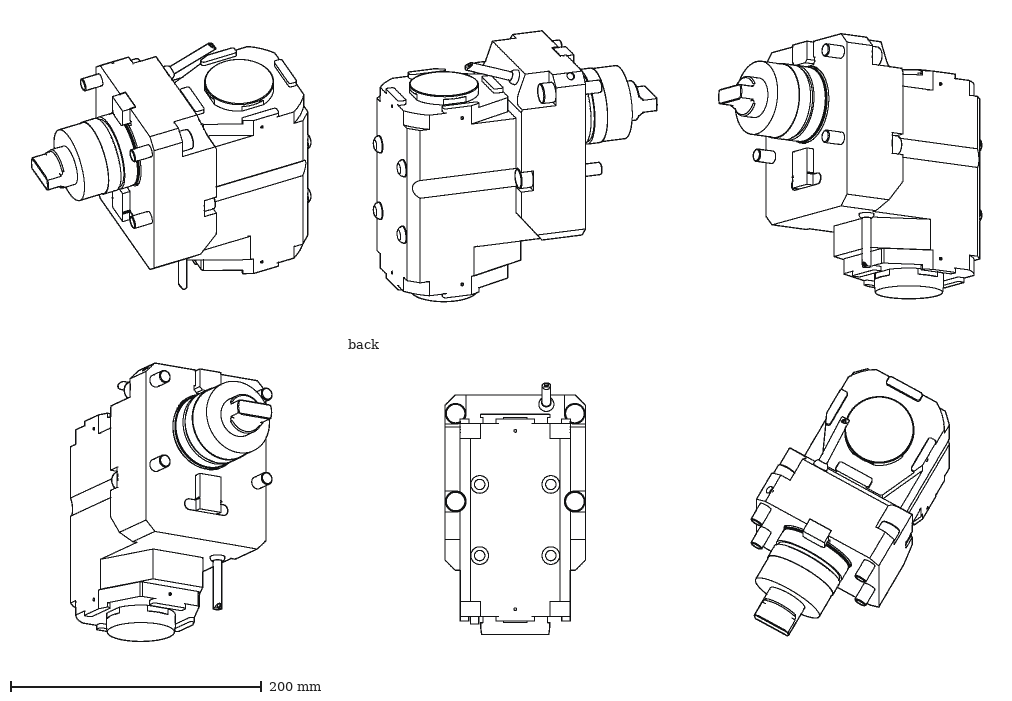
import cadquery as cq
import math


flange_width = 112.0
flange_top = 50.0
flange_bottom = -90.0
flange_thickness = 25.0
corner_chamfer = 8.3
bracket_back = 54.5
bracket_top_depth = 45.0
rear_slope_angle = 20
bottom_bevel_run = 20.5
bottom_bevel_rise = 24.5

bolt_x = 47.5
bolt_z = 35.0
bolt_diameter = 10.0
bolt_reach = 15.5
bolt_tip_chamfer = 0.7
bolt_head_diameter = 16.0
bolt_head_height = 10.0
head_clearance_diameter = 16.7
lower_seat_y = 44.2

key_half_width = 9.8
key_protrusion = 6.5
key_depth = 5.0
upper_key_top = 49.3
upper_key_bottom = 32.1
upper_key_chamfer = 2.5
upper_pocket_margin = 1.3
upper_pocket_top = 37.0
lower_key_top = -37.5
lower_key_bottom = -67.0
inlay_length = 40.2
inlay_height = 9.0
inlay_thickness = 0.5
key_web = 1.1

coolant_hole_diameter = 6.0
coolant_hole_depth = 2.2
coolant_hole_tilt = 30
coolant_hole_x = -50.0
coolant_hole_y = 10.5

spindle_steps = [
    (1.0, 59.5),
    (1.8, 59.0),
    (2.7, 59.5),
    (13.8, 60.0),
    (17.2, 56.2),
    (27.9, 60.0),
    (48.9, 59.0),
]
bore_diameter = 61.8
bore_gap_depth = 2.2
shaft_diameter = 32.0
shaft_end = 61.0
shaft_chamfer = 1.1
tang_end = 75.0
tang_thickness = 12.0
tang_chamfer = 0.7
tang_root = 2.0
tang_overlap = 2.2
tang_flat_half = 12.3
tang_edge_drop = 1.1

head_half = 44.0
head_y = 100.0
housing_top = 15.2
housing_bottom = -114.7
housing_mid_z = (housing_top + housing_bottom) / 2
housing_chamfer = 8.3
wedge_front = 43.0
bevel_angle = 66
wedge_bevel_start = 90.0

cover_thickness = 12.0
cover_radius = 52.0
cover_front = 54.9
cover_bevel_start = 92.4
pad_length = 30.5
pad_width = 7.0
front_pad_width = 8.0
pad_height = 3.5
pad_fillet = 2.0
pin_hole_diameter = 2.1
pin_hole_depth = 1.1

nose_diameter = 55.0
nose_end_diameter = 53.5
nose_flat_height = 4.7
nose_flat_distance = 25.9
upper_nose_height = 7.5
lower_nose_height = 14.3
lower_nose_straight = 4.0
nose_chamfer = 0.7
nose_end_height = 1.5
lower_nose_rim_diameter = 54.2

screw_x = 28.3
screw_diameter = 14.0
screw_top_diameter = 8.3
screw_height = 4.2
screw_rim = 0.7
screw_bulge = 0.33

cable_diameter = 7.0
cable_boss_diameter = 12.0
cable_boss_top_diameter = 7.8
cable_boss_sink = 2.2
cable_boss_bulge = 0.5
cable_tip_hole_diameter = 3.1
cable_tip_hole_depth = 1.3
cable_cut_length = 3.5
upper_cable_x = -24.8
upper_cable_z = 42.5
upper_cable_length = 44.0
upper_cable_cut = 4.7
upper_boss_height = 5.0
lower_cable_x = 32.3
lower_cable_y = 35.7
lower_cable_length = 42.8
lower_cable_cut = 2.2
lower_boss_height = 3.3

cut_margin = 2.2

flange_half = flange_width / 2
back_y = head_y + head_half
slope_tan = math.tan(math.radians(rear_slope_angle))
bevel_tan = math.tan(math.radians(bevel_angle))


def block(x0, x1, y0, y1, z0, z1):
    """Box between two opposite corners."""
    return cq.Workplane("XY").box(x1 - x0, y1 - y0, z1 - z0, centered=False).translate((x0, y0, z0))


def rod(x, z, y0, y1, diameter):
    """Cylinder parallel to Y between y0 and y1."""
    return cq.Workplane("XZ", origin=(x, y0, z)).circle(diameter / 2).extrude(y0 - y1)


def make_flange():
    """Flange plate, with chamfered corners, and the coolant hole."""
    plate = block(-flange_half, flange_half, 0, flange_thickness, flange_bottom, flange_top)
    plate = plate.edges("|Y").chamfer(corner_chamfer)
    mouth_z = flange_top - corner_chamfer + flange_half + coolant_hole_x
    mouth = cq.Vector(coolant_hole_x, coolant_hole_y, mouth_z)
    tilt = math.radians(coolant_hole_tilt)
    inward = cq.Vector(math.cos(tilt), 0, -math.sin(tilt))
    start = mouth - inward * coolant_hole_diameter
    length = coolant_hole_diameter + coolant_hole_depth
    hole = cq.Solid.makeCylinder(coolant_hole_diameter / 2, length, start, inward)
    return plate.cut(cq.Workplane(hole))


def make_bracket():
    """Bracket between flange and housing: sloped at the back, relieved around the upper bolt heads."""
    slope_end_z = flange_top - (bracket_back - bracket_top_depth) / slope_tan
    profile = [
        (flange_thickness, flange_top),
        (bracket_top_depth, flange_top),
        (bracket_back, slope_end_z),
        (bracket_back, flange_bottom + bottom_bevel_rise),
        (bracket_back - bottom_bevel_run, flange_bottom),
        (flange_thickness, flange_bottom),
    ]
    body = cq.Workplane("YZ").polyline(profile).close().extrude(flange_half, both=True)
    outline = block(-flange_half, flange_half, flange_thickness, bracket_back, flange_bottom, flange_top)
    body = body.intersect(outline.edges("|Y and <Z").chamfer(corner_chamfer))

    radius = head_clearance_diameter / 2
    for side in (-1, 1):
        inner_x = side * (bolt_x - radius)
        outer_x = side * (flange_half + cut_margin)
        x0, x1 = sorted((inner_x, outer_x))
        relief_back = bracket_back + cut_margin
        relief_top = flange_top + cut_margin
        relief = block(x0, x1, flange_thickness, relief_back, bolt_z - radius, relief_top)
        inner_edge = ">X" if side < 0 else "<X"
        relief = relief.edges("|Y and <Z").edges(inner_edge).fillet(radius)
        body = body.cut(relief)
    return body


def make_housing():
    """Housing block, narrowed by bevels below the flange."""
    core = block(-head_half, head_half, bracket_back - bottom_bevel_run, back_y, housing_bottom, housing_top)
    core = core.edges("|Z and >Y").chamfer(housing_chamfer)
    front_clearance = block(-head_half, head_half, 0, wedge_front, housing_bottom, flange_bottom)
    bevels = make_bevels(wedge_bevel_start, housing_bottom, flange_bottom)
    return core.cut(front_clearance).cut(bevels)


def make_bevels(start_y, z0, z1):
    """Pair of prisms that taper the head towards the flange from start_y on."""
    run = start_y / bevel_tan
    prism = (
        cq.Workplane("XY", origin=(0, 0, z0))
        .polyline([(head_half, start_y), (head_half + run, 0), (head_half - run, 0)])
        .close()
        .extrude(z1 - z0)
    )
    return prism.union(prism.mirror("YZ"))


def make_nose(outline):
    """Spindle nose standing on z = 0: a turned outline with four flats at its foot."""
    profile = [(0, 0), (nose_diameter / 2, 0)] + outline + [(0, outline[-1][1])]
    nose = cq.Workplane("XZ").polyline(profile).close().revolve(360, (0, 0), (0, 1))
    flat_width = 2 * nose_flat_distance
    frame = cq.Workplane("XY").rect(nose_diameter, nose_diameter).rect(flat_width, flat_width)
    return nose.cut(frame.extrude(nose_flat_height))


def make_cover(nose):
    """End cover standing on z = 0, with four pads, pin holes and a spindle nose."""
    total_height = cover_thickness + pad_height
    cover = block(-head_half, head_half, cover_front, back_y, 0, cover_thickness)
    disc = cq.Workplane("XY").center(0, head_y).circle(cover_radius).extrude(total_height)
    pin_holes = []
    sides = [
        (head_half, pad_width),
        (head_half, pad_width),
        (head_y - cover_front, front_pad_width),
        (head_half, pad_width),
    ]
    for index, (edge, width) in enumerate(sides):
        pad = block(-pad_length / 2, pad_length / 2, edge - width, edge, cover_thickness, total_height)
        pad = pad.edges("|Z").fillet(pad_fillet)
        pin_hole = rod(0, cover_thickness / 2, edge - pin_hole_depth, edge, pin_hole_diameter)
        turn = 90 * index
        cover = cover.union(pad.rotate((0, 0, 0), (0, 0, 1), turn).translate((0, head_y, 0)))
        pin_holes.append(pin_hole.rotate((0, 0, 0), (0, 0, 1), turn).translate((0, head_y, 0)))
    cover = cover.intersect(disc).cut(make_bevels(cover_bevel_start, 0, total_height))
    for pin_hole in pin_holes:
        cover = cover.cut(pin_hole)
    return cover.union(nose.translate((0, head_y, cover_thickness)))


def make_spindle():
    """Stepped drive spindle with a flat tang at its tip."""
    spindle = rod(0, 0, 0, bore_gap_depth, spindle_steps[0][1])
    start = 0
    for end, diameter in spindle_steps:
        spindle = spindle.union(rod(0, 0, -end, -start, diameter))
        start = end
    shaft = rod(0, 0, -shaft_end, -start, shaft_diameter).faces("<Y").chamfer(shaft_chamfer)

    half = tang_thickness / 2
    tang_bar = (
        cq.Workplane("YZ")
        .moveTo(-shaft_end, half + tang_root)
        .radiusArc((-shaft_end - tang_root, half), tang_root)
        .lineTo(-tang_end + tang_chamfer, half)
        .lineTo(-tang_end, half - tang_chamfer)
        .lineTo(-tang_end, -half + tang_chamfer)
        .lineTo(-tang_end + tang_chamfer, -half)
        .lineTo(-shaft_end - tang_root, -half)
        .radiusArc((-shaft_end, -half - tang_root), tang_root)
        .lineTo(-shaft_end + tang_overlap, -half - tang_root)
        .lineTo(-shaft_end + tang_overlap, half + tang_root)
        .close()
        .extrude(shaft_diameter, both=True)
    )
    shaft_envelope = rod(0, 0, -tang_end, -start, shaft_diameter).faces("<Y").chamfer(tang_chamfer)
    tang = tang_bar.intersect(shaft_envelope)
    edge_run = shaft_diameter / 2 - tang_flat_half
    corner = (
        cq.Workplane("XZ", origin=(0, -shaft_end - tang_root, 0))
        .moveTo(tang_flat_half, half)
        .lineTo(tang_flat_half + edge_run, half)
        .lineTo(tang_flat_half + edge_run, half - tang_edge_drop)
        .close()
        .extrude(tang_end)
    )
    corners = corner.union(corner.mirror("YZ"))
    tang = tang.cut(corners).cut(corners.mirror("XY"))
    return spindle.union(shaft).union(tang)


def make_upper_key():
    """Upper key with chamfered lower corners."""
    key = block(-key_half_width, key_half_width, -key_protrusion, key_depth, upper_key_bottom, upper_key_top)
    return key.edges("|Y and <Z").chamfer(upper_key_chamfer)


def make_upper_key_slot():
    """Slot open to the top of the flange, widened around the lower end of the key."""
    half = key_half_width + upper_pocket_margin
    slot = block(-key_half_width, key_half_width, 0, key_depth, upper_key_bottom, flange_top)
    pocket = block(-half, half, 0, key_depth, upper_key_bottom - upper_pocket_margin, upper_pocket_top)
    return slot.union(pocket.edges("|Y and <Z").chamfer(upper_key_chamfer))


def make_lower_key():
    """Lower key with a thin rounded inlay and a small corner web on both sides of it."""
    key = block(-key_half_width, key_half_width, -key_protrusion, key_depth, lower_key_bottom, lower_key_top)
    inlay = (
        cq.Workplane("XZ", origin=(0, 0, lower_key_bottom + inlay_height / 2))
        .slot2D(inlay_length, inlay_height)
        .extrude(inlay_thickness)
    )
    web_bottom = lower_key_bottom + inlay_height
    webs = (
        cq.Workplane("XZ")
        .polyline([
            (-key_half_width - key_web, web_bottom),
            (key_half_width + key_web, web_bottom),
            (key_half_width, web_bottom + key_web),
            (-key_half_width, web_bottom + key_web),
        ])
        .close()
        .extrude(key_protrusion)
    )
    return key.union(inlay).union(webs)


def make_bolt(x, z, seat_y):
    """Mounting bolt with its head resting on the plane y = seat_y."""
    shank = rod(x, z, -bolt_reach, seat_y, bolt_diameter).faces("<Y").chamfer(bolt_tip_chamfer)
    head = rod(x, z, seat_y, seat_y + bolt_head_height, bolt_head_diameter)
    return shank.union(head.faces(">Y").chamfer(bolt_tip_chamfer))


def make_lower_bolt_access(side):
    """Channel along the housing and a pocket open to the side for a lower bolt head."""
    radius = head_clearance_diameter / 2
    channel = rod(side * bolt_x, -bolt_z, lower_seat_y, back_y, head_clearance_diameter)
    x0, x1 = sorted((side * bolt_x, side * (flange_half + cut_margin)))
    pocket = block(x0, x1, lower_seat_y, bracket_back, -bolt_z - radius, -bolt_z + radius)
    return channel.union(pocket)


def make_screw(x, z):
    """Button head on the back of the housing."""
    rim = screw_diameter / 2
    top = screw_top_diameter / 2
    middle = ((rim + top) / 2 + screw_bulge, (screw_rim + screw_height) / 2 + screw_bulge)
    head = (
        cq.Workplane("XY")
        .moveTo(0, 0)
        .lineTo(rim, 0)
        .lineTo(rim, screw_rim)
        .threePointArc(middle, (top, screw_height))
        .lineTo(0, screw_height)
        .close()
        .revolve(360, (0, 0), (0, 1))
    )
    return head.translate((x, back_y, z))


def make_cable(length, cut_width, boss_height):
    """Cable standing on z = 0 with a domed boss and a tip cut off obliquely on its -Y side."""
    boss_r = cable_boss_diameter / 2
    top_r = cable_boss_top_diameter / 2
    middle = ((boss_r + top_r) / 2 + cable_boss_bulge, boss_height / 2 + cable_boss_bulge)
    boss = (
        cq.Workplane("XZ")
        .moveTo(0, -cable_boss_sink)
        .lineTo(boss_r, -cable_boss_sink)
        .lineTo(boss_r, 0)
        .threePointArc(middle, (top_r, boss_height))
        .lineTo(0, boss_height)
        .close()
        .revolve(360, (0, 0), (0, 1))
    )
    cable_r = cable_diameter / 2
    cable = cq.Workplane("XY").circle(cable_r).extrude(length)
    cut = (
        cq.Workplane("YZ")
        .polyline([(-cable_r, length - cable_cut_length), (-cable_r, length), (cut_width - cable_r, length)])
        .close()
        .extrude(cable_r, both=True)
    )
    face_middle = cq.Vector(0, cut_width / 2 - cable_r, length - cable_cut_length / 2)
    inward = cq.Vector(0, cable_cut_length, -cut_width)
    tip_hole = cq.Solid.makeCylinder(cable_tip_hole_diameter / 2, cable_tip_hole_depth, face_middle, inward)
    return boss.union(cable.cut(cut).cut(cq.Workplane(tip_hole)))


flange = make_flange()
bore = rod(0, 0, 0, bore_gap_depth, bore_diameter)
body = flange.union(make_bracket()).union(make_housing())
body = body.cut(bore).cut(make_upper_key_slot())
for side in (-1, 1):
    body = body.cut(make_lower_bolt_access(side))

upper_nose = make_nose([
    (nose_diameter / 2, upper_nose_height - nose_chamfer),
    (nose_diameter / 2 - nose_chamfer, upper_nose_height),
])
lower_nose = make_nose([
    (nose_diameter / 2, nose_flat_height + lower_nose_straight),
    (lower_nose_rim_diameter / 2, lower_nose_height - nose_end_height),
    (nose_end_diameter / 2, lower_nose_height),
])
upper_cover = make_cover(upper_nose)
lower_cover = make_cover(lower_nose).mirror("XY")
body = body.union(upper_cover.translate((0, 0, housing_top)))
body = body.union(lower_cover.translate((0, 0, housing_bottom)))
body = body.union(make_spindle()).union(make_upper_key()).union(make_lower_key())

for side in (-1, 1):
    body = body.union(make_bolt(side * bolt_x, bolt_z, flange_thickness))
    body = body.union(make_bolt(side * bolt_x, -bolt_z, lower_seat_y))
    for rise in (-screw_x, screw_x):
        body = body.union(make_screw(side * screw_x, housing_mid_z + rise))

upper_cable = make_cable(upper_cable_length, upper_cable_cut, upper_boss_height)
upper_cable = upper_cable.rotate((0, 0, 0), (1, 0, 0), rear_slope_angle - 90)
upper_cable_y = bracket_top_depth + (flange_top - upper_cable_z) * slope_tan
body = body.union(upper_cable.translate((upper_cable_x, upper_cable_y, upper_cable_z)))

lower_cable = make_cable(lower_cable_length, lower_cable_cut, lower_boss_height).mirror("XY")
body = body.union(lower_cable.translate((lower_cable_x, lower_cable_y, flange_bottom)))

result = body